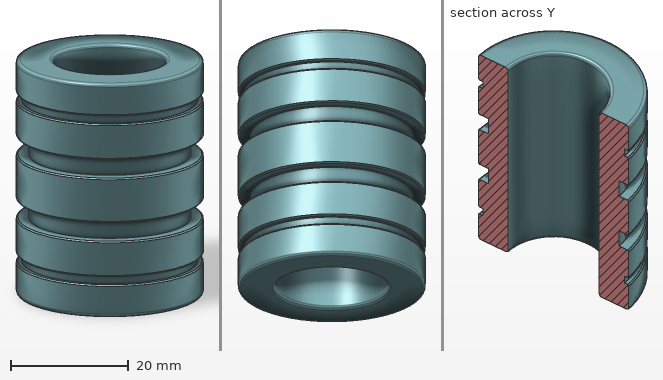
import cadquery as cq

length = 41.1
outer_radius = 15.85
bore_radius = 9.55
end_round = 0.6

groove_edge_chamfer = 0.25
narrow_groove_radius = 14.95
narrow_groove_width = 1.45
narrow_groove_offset = 14.15
wide_groove_radius = 13.8
wide_groove_width = 3.3
wide_groove_offset = 5.55


def make_tube():
    """Tube with all four end rims rounded."""
    tube = (
        cq.Workplane("XY")
        .circle(outer_radius)
        .circle(bore_radius)
        .extrude(length / 2, both=True)
    )
    return tube.faces("|Z").edges().fillet(end_round)


def groove_cutter(center_z, floor_radius, width):
    """Ring that cuts a square groove whose two outer edges are chamfered."""
    bottom = center_z - width / 2
    top = center_z + width / 2
    chamfer = groove_edge_chamfer
    clearance = 0.4
    rim_radius = outer_radius + clearance
    flare = chamfer + clearance
    return (
        cq.Workplane("XZ")
        .moveTo(floor_radius, bottom)
        .lineTo(outer_radius - chamfer, bottom)
        .lineTo(rim_radius, bottom - flare)
        .lineTo(rim_radius, top + flare)
        .lineTo(outer_radius - chamfer, top)
        .lineTo(floor_radius, top)
        .close()
        .revolve(360, (0, 0, 0), (0, 1, 0))
    )


def make_sleeve():
    """Tube with a narrow and a wide groove in each half."""
    sleeve = make_tube()
    for side in (-1, 1):
        narrow_z = side * narrow_groove_offset
        wide_z = side * wide_groove_offset
        sleeve = sleeve.cut(groove_cutter(narrow_z, narrow_groove_radius, narrow_groove_width))
        sleeve = sleeve.cut(groove_cutter(wide_z, wide_groove_radius, wide_groove_width))
    return sleeve


sleeve = make_sleeve()
result = cq.Compound.makeCompound([sleeve.solids().val()])